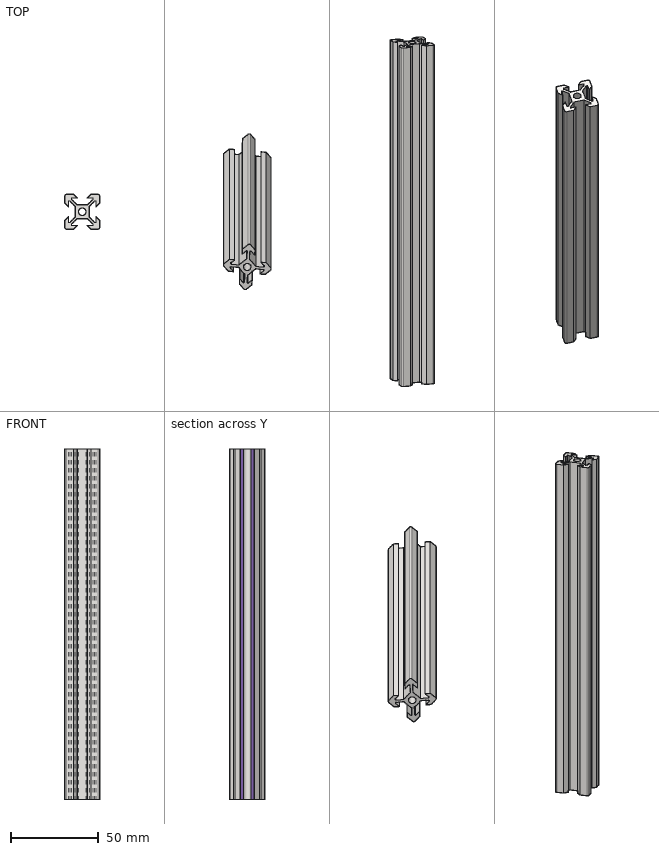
import cadquery as cq
import math

side = 20.0
length = 200.0
bore_diameter = 4.2
corner_radius = 1.0

mouth_outer_width = 9.8
mouth_inner_width = 5.5
lip_thickness = 2.2
cavity_width = 12.0
core_width = 8.0
web_thickness = 1.5

half_side = side / 2
lip_inner_y = half_side - lip_thickness
bevel_depth = (mouth_outer_width - mouth_inner_width) / 2
lip_tip_y = half_side - bevel_depth
cavity_half = cavity_width / 2
core_half = core_width / 2
web_offset = web_thickness / math.sqrt(2)


def slot_cutter():
    """Full-length cutter for the slot on the +Y side."""
    right_half = [
        (mouth_outer_width / 2, half_side),
        (mouth_inner_width / 2, lip_tip_y),
        (mouth_inner_width / 2, lip_inner_y),
        (cavity_half, lip_inner_y),
        (cavity_half, cavity_half + web_offset),
        (core_half - web_offset, core_half),
    ]
    left_half = [(-x, y) for x, y in reversed(right_half)]
    return cq.Workplane("XY").polyline(right_half + left_half).close().extrude(length)


result = cq.Workplane("XY").rect(side, side).extrude(length)
result = result.edges("|Z").fillet(corner_radius)

slot = slot_cutter()
for angle in (0, 90, 180, 270):
    result = result.cut(slot.rotate((0, 0, 0), (0, 0, 1), angle))

bore = cq.Workplane("XY").circle(bore_diameter / 2).extrude(length)
result = result.cut(bore)